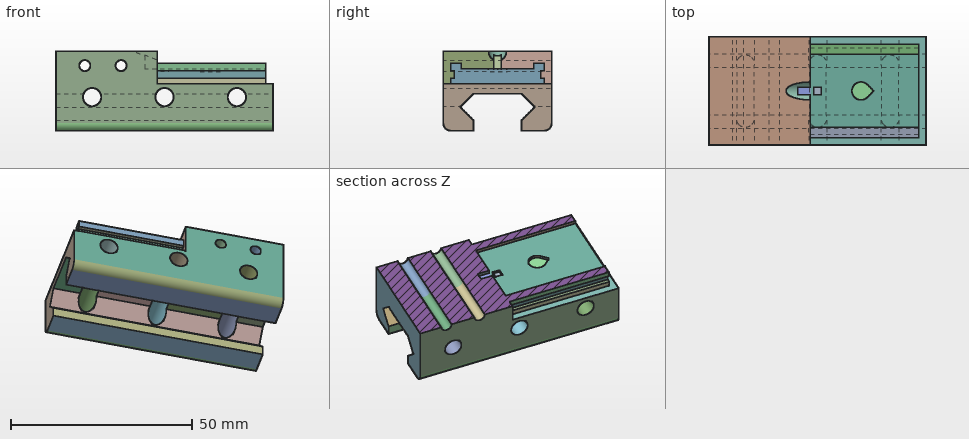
import cadquery as cq
import math

length = 60.0
width = 30.0
height = 22.0
bottom_fillet = 2.1

head_length = 28.0
shelf_height = 13.0

platform_end = 58.0
platform_inset = 2.05
rail_width = 2.9
rail_top = 18.7
platform_floor = 17.1
groove_bottom = 14.45
groove_top = 16.6
groove_depth = 1.0

channel_mouth_half = 6.6
channel_waist_half = 10.25
channel_roof = 10.2
channel_waist_height = 6.55
channel_lip_height = 2.9

clamp_hole_diameter = 5.0
clamp_hole_height = 9.3
clamp_hole_pitch = length / 3
pin_hole_diameter = 3.0
pin_hole_height = 18.0
pin_hole_places = (8.0, 18.0)

recess_radius = clamp_hole_diameter / 2
teardrop_x = 42.0
teardrop_depth = 0.8
slot_width = 2.1
slot_start = 24.6
square_pocket_depth = 0.6
scoop_start = 21.3


def box(x_range, y_range, z_range):
    """Box spanning the given ranges."""
    corners = list(zip(x_range, y_range, z_range))
    sizes = [high - low for low, high in zip(*corners)]
    return cq.Workplane("XY").box(*sizes, centered=False).translate(corners[0])


def make_body():
    """Stepped block with rounded lower long edges."""
    half = width / 2
    base = box((0, length), (-half, half), (0, shelf_height))
    base = base.edges("|X and <Z").fillet(bottom_fillet)
    head = box((0, head_length), (-half, half), (shelf_height, height))
    return base.union(head)


def make_platform():
    """Platform with a rail along each side and a groove under each rail."""
    half = width / 2 - platform_inset
    rail_inner = half - rail_width
    x_range = (head_length, platform_end)
    platform = box(x_range, (-half, half), (shelf_height, rail_top))
    platform = platform.cut(box(x_range, (-rail_inner, rail_inner), (platform_floor, rail_top)))
    for y_range in ((-half, -half + groove_depth), (half - groove_depth, half)):
        platform = platform.cut(box(x_range, y_range, (groove_bottom, groove_top)))
    return platform


def make_channel():
    """Angled channel running through the full length."""
    right_side = [
        (channel_mouth_half, 0),
        (channel_mouth_half, channel_lip_height),
        (channel_waist_half, channel_waist_height),
        (channel_mouth_half, channel_roof),
    ]
    left_side = [(-y, z) for y, z in reversed(right_side)]
    return cq.Workplane("YZ").polyline(right_side + left_side).close().extrude(length)


def make_cross_hole(x, z, diameter):
    """Hole through the full width."""
    hole = cq.Workplane("XZ").circle(diameter / 2).extrude(width / 2, both=True)
    return hole.translate((x, 0, z))


def make_teardrop():
    """Shallow teardrop recess with its 90 degree point toward +X."""
    tangent = recess_radius * math.sqrt(0.5)
    return (
        cq.Workplane("XY", origin=(teardrop_x, 0, platform_floor - teardrop_depth))
        .moveTo(tangent, tangent)
        .threePointArc((-recess_radius, 0), (tangent, -tangent))
        .lineTo(recess_radius * math.sqrt(2), 0)
        .close()
        .extrude(teardrop_depth)
    )


def make_scoop():
    """Sloping round scoop in the head, opened by a narrow slot to the platform floor."""
    opening_length = head_length - scoop_start
    slope = math.asin(recess_radius / opening_length)
    reach = opening_length * math.cos(slope)
    scoop = (
        cq.Workplane("YZ")
        .circle(recess_radius)
        .extrude(2 * reach, both=True)
        .rotate((0, 0, 0), (0, 1, 0), math.degrees(slope))
        .translate((head_length, 0, height))
    )
    half = slot_width / 2
    slot = box((slot_start, head_length), (-half, half), (platform_floor, height))
    head_space = box((0, head_length), (-width / 2, width / 2), (platform_floor, height))
    return scoop.intersect(head_space).union(slot)


def make_square_pocket():
    """Square pocket in the platform floor at mid length."""
    return (
        cq.Workplane("XY", origin=(length / 2, 0, platform_floor))
        .rect(slot_width, slot_width)
        .extrude(-square_pocket_depth)
    )


result = make_body().union(make_platform()).cut(make_channel())
for index in range(3):
    hole_x = (index + 0.5) * clamp_hole_pitch
    result = result.cut(make_cross_hole(hole_x, clamp_hole_height, clamp_hole_diameter))
for hole_x in pin_hole_places:
    result = result.cut(make_cross_hole(hole_x, pin_hole_height, pin_hole_diameter))
result = result.cut(make_teardrop()).cut(make_scoop()).cut(make_square_pocket())